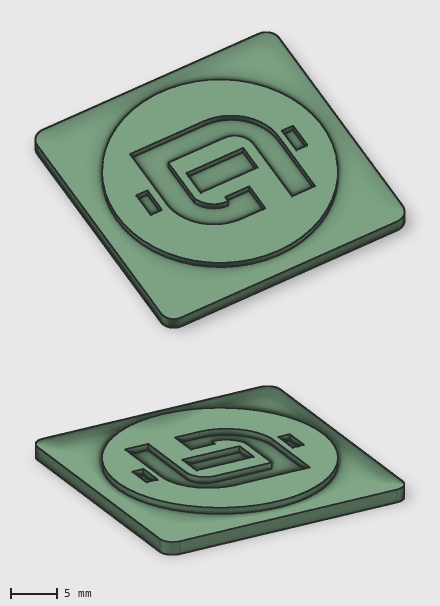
import cadquery as cq
import math

side = 30.0
corner_radius = 1.6
total_height = 2.28
disc_height = 0.75
plate_height = total_height - disc_height

disc_diameter = 25.4

slot_width = 3.12
slot_column_y = 0.25
centre_slot_length = 7.05
end_slot_length = 1.38
end_slot_offset = 9.03

g_half_width = 6.87
g_top = 7.85
g_bottom = -7.23
top_left_radius = 5.9
bottom_right_radius = 5.97
bottom_right_centre_y = -1.3

top_arm_width = 2.85
bottom_arm_width = 2.97
left_arm_width = 3.1
right_arm_width = 2.82
inner_top_left_radius = 2.37
hook_top = 1.68
hook_left = 3.4


def disc_level():
    """Workplane on the top face of the plate, where the disc starts."""
    return cq.Workplane("XY").workplane(offset=plate_height)


def slot(centre_y, length):
    return disc_level().center(0, centre_y).rect(slot_width, length).extrude(disc_height)


def point_on_circle(centre, radius, angle):
    return (centre[0] + radius * math.cos(angle), centre[1] + radius * math.sin(angle))


def top_left_arc(left, top, radius):
    """Left end, middle and top end of a quarter round tangent to both edges."""
    centre = (left + radius, top - radius)
    angles = (math.pi, 0.75 * math.pi, 0.5 * math.pi)
    return [point_on_circle(centre, radius, angle) for angle in angles]


def bottom_right_arc(centre, radius, bottom):
    """Bottom end, middle and right end of an arc that stops where it meets the bottom edge."""
    start_angle = -math.asin((centre[1] - bottom) / radius)
    angles = (start_angle, start_angle / 2, 0)
    return [point_on_circle(centre, radius, angle) for angle in angles]


def g_groove():
    inner_left = -g_half_width + left_arm_width
    inner_top = g_top - top_arm_width
    inner_bottom = g_bottom + bottom_arm_width

    centre = (g_half_width - bottom_right_radius, bottom_right_centre_y)
    inner_radius = bottom_right_radius - right_arm_width
    outer_start, outer_middle, outer_end = bottom_right_arc(centre, bottom_right_radius, g_bottom)
    inner_start, inner_middle, inner_end = bottom_right_arc(centre, inner_radius, inner_bottom)

    outer_side, outer_corner, outer_top = top_left_arc(-g_half_width, g_top, top_left_radius)
    inner_side, inner_corner, inner_top_end = top_left_arc(inner_left, inner_top, inner_top_left_radius)

    outline = (
        disc_level()
        .moveTo(-g_half_width, g_bottom)
        .lineTo(*outer_start)
        .threePointArc(outer_middle, outer_end)
        .lineTo(g_half_width, hook_top)
        .lineTo(hook_left, hook_top)
        .lineTo(hook_left, bottom_right_centre_y)
        .lineTo(*inner_end)
        .threePointArc(inner_middle, inner_start)
        .lineTo(inner_left, inner_bottom)
        .lineTo(*inner_side)
        .threePointArc(inner_corner, inner_top_end)
        .lineTo(g_half_width, inner_top)
        .lineTo(g_half_width, g_top)
        .lineTo(*outer_top)
        .threePointArc(outer_corner, outer_side)
        .close()
    )
    return outline.extrude(disc_height)


def base_plate():
    plate = cq.Workplane("XY").rect(side, side).extrude(plate_height)
    return plate.edges("|Z").fillet(corner_radius)


def raised_disc():
    disc = disc_level().circle(disc_diameter / 2).extrude(disc_height)
    disc = disc.cut(g_groove())
    disc = disc.cut(slot(slot_column_y, centre_slot_length))
    for offset in (-end_slot_offset, end_slot_offset):
        disc = disc.cut(slot(slot_column_y + offset, end_slot_length))
    return disc


result = base_plate().union(raised_disc())